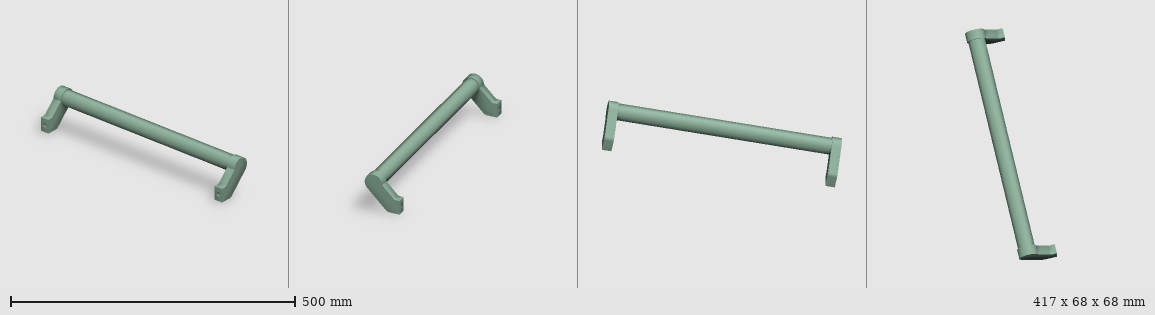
import cadquery as cq
import math

hole_spacing = 400.0
bracket_width = 17.0
grip_diameter = 30.0
head_radius = 17.0
reach = 51.0
rise = 51.0
foot_height = 27.0
bend_radius = 8.0
hole_diameter = 6.6
hole_depth = 15.0
hole_chamfer = 0.8
drill_point_angle = 118.0

overall_length = hole_spacing + bracket_width
diagonal = head_radius * math.sqrt(0.5)
arm_top_y = reach - head_radius
upper_bend_y = arm_top_y - (rise - foot_height)
lower_bend_y = reach + diagonal - (rise - diagonal)
bracket_centers = (-hole_spacing / 2, hole_spacing / 2)


def make_grip():
    """Round bar running the full length through both brackets."""
    return (
        cq.Workplane("YZ")
        .center(reach, rise)
        .circle(grip_diameter / 2)
        .extrude(overall_length / 2, both=True)
    )


def make_bracket(x_center):
    """Foot, 45 degree arm and round head, extruded along X."""
    bracket = (
        cq.Workplane("YZ", origin=(x_center, 0, 0))
        .moveTo(0, 0)
        .lineTo(0, foot_height)
        .lineTo(upper_bend_y, foot_height)
        .lineTo(arm_top_y, rise)
        .threePointArc(
            (reach + diagonal, rise + diagonal),
            (reach + diagonal, rise - diagonal),
        )
        .lineTo(lower_bend_y, 0)
        .close()
        .extrude(bracket_width / 2, both=True)
    )
    for bend_y, bend_z in ((upper_bend_y, foot_height), (lower_bend_y, 0)):
        bend_edge = cq.selectors.NearestToPointSelector((x_center, bend_y, bend_z))
        bracket = bracket.edges(bend_edge).fillet(bend_radius)
    return bracket


def mounting_hole(x_center):
    """Chamfered blind hole with a drill point, revolved about its axis along +Y."""
    bore_radius = hole_diameter / 2
    point_length = bore_radius / math.tan(math.radians(drill_point_angle / 2))
    return (
        cq.Workplane("XY", origin=(x_center, 0, foot_height / 2))
        .moveTo(0, 0)
        .lineTo(bore_radius + hole_chamfer, 0)
        .lineTo(bore_radius, hole_chamfer)
        .lineTo(bore_radius, hole_depth)
        .lineTo(0, hole_depth + point_length)
        .close()
        .revolve(360, (0, 0, 0), (0, 1, 0))
    )


result = make_grip()
for x_center in bracket_centers:
    result = result.union(make_bracket(x_center), clean=False)
for x_center in bracket_centers:
    result = result.cut(mounting_hole(x_center), clean=False)